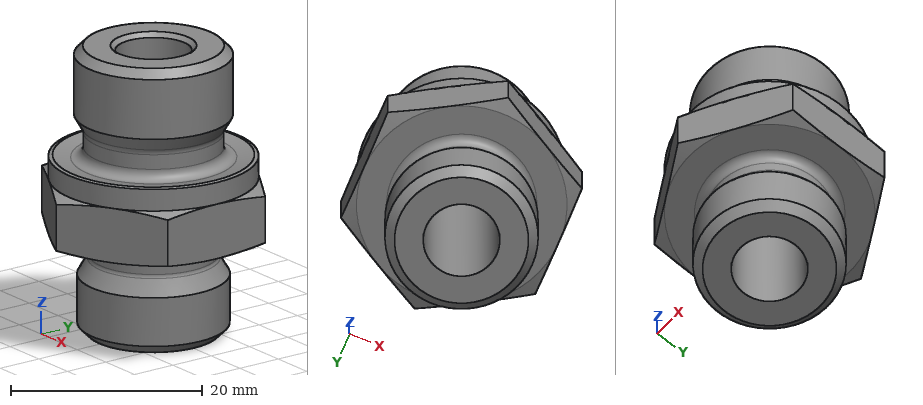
import cadquery as cq
import math

total_height = 31.5
lower_thread_top = 6.35
hex_bottom = 10.95
hex_height = 6.02
hex_top = hex_bottom + hex_height
collar_height = 2.5
collar_rim = hex_top + collar_height
upper_thread_bottom = 23.97

upper_thread_radius = 16.65 / 2
upper_groove_radius = 14.7 / 2
lower_thread_radius = 16.0 / 2
lower_groove_radius = 13.7 / 2
hex_across_flats = 22.0
collar_radius = hex_across_flats / 2
bore_radius = 8.0 / 2

lower_thread_chamfer = 1.0
upper_thread_chamfer = 0.95
bore_chamfer = 0.5
rim_chamfer_width = 0.45
rim_chamfer_height = 0.1
upper_groove_fillet = 1.15
lower_groove_fillet = 0.82
hex_root_fillet = 1.0

runout_angle = math.radians(30)
seal_angle = math.radians(8)
hex_chamfer_angle = math.radians(15)


def runout_blend(groove_radius, thread_radius, thread_edge, fillet, direction):
    """Start, middle and end of the arc joining a groove to its thread run-out cone.

    direction is +1 when the thread lies above the groove and -1 when below.
    """
    corner = thread_edge - direction * (thread_radius - groove_radius) / math.tan(runout_angle)
    start_height = corner - direction * fillet * math.tan(runout_angle / 2)
    return [
        (
            groove_radius + fillet * (1 - math.cos(angle)),
            start_height + direction * fillet * math.sin(angle),
        )
        for angle in (0, runout_angle / 2, runout_angle)
    ]


def root_blend(groove_radius, height, fillet, slope, direction):
    """Start, middle and end of the arc from a groove wall to a sloping shoulder.

    direction is -1 when the shoulder lies below the groove and +1 when above.
    The arc starts at the given height on the groove wall.
    """
    sweep = math.pi / 2 + slope
    return [
        (
            groove_radius + fillet * (1 - math.cos(angle)),
            height + direction * fillet * math.sin(angle),
        )
        for angle in (0, sweep / 2, sweep)
    ]


def turned_body():
    """Both threaded ends, their undercut grooves and the sealing collar."""
    lower_runout = runout_blend(
        lower_groove_radius, lower_thread_radius, lower_thread_top, lower_groove_fillet, -1
    )
    upper_runout = runout_blend(
        upper_groove_radius, upper_thread_radius, upper_thread_bottom, upper_groove_fillet, 1
    )
    hex_root = root_blend(
        lower_groove_radius, hex_bottom - hex_root_fillet, hex_root_fillet, 0, 1
    )

    rim_radius = collar_radius - rim_chamfer_width
    seal_inner_radius = upper_groove_radius + upper_groove_fillet * (1 + math.sin(seal_angle))
    seal_inner_height = collar_rim - (rim_radius - seal_inner_radius) * math.tan(seal_angle)
    seal_root_height = seal_inner_height + upper_groove_fillet * math.cos(seal_angle)
    seal_root = root_blend(
        upper_groove_radius, seal_root_height, upper_groove_fillet, seal_angle, -1
    )

    profile = (
        cq.Workplane("XZ")
        .moveTo(0, 0)
        .lineTo(lower_thread_radius - lower_thread_chamfer, 0)
        .lineTo(lower_thread_radius, lower_thread_chamfer)
        .lineTo(lower_thread_radius, lower_thread_top)
        .lineTo(*lower_runout[2])
        .threePointArc(lower_runout[1], lower_runout[0])
        .lineTo(*hex_root[0])
        .threePointArc(hex_root[1], hex_root[2])
        .lineTo(collar_radius, hex_bottom)
        .lineTo(collar_radius, collar_rim - rim_chamfer_height)
        .lineTo(rim_radius, collar_rim)
        .lineTo(*seal_root[2])
        .threePointArc(seal_root[1], seal_root[0])
        .lineTo(*upper_runout[0])
        .threePointArc(upper_runout[1], upper_runout[2])
        .lineTo(upper_thread_radius, upper_thread_bottom)
        .lineTo(upper_thread_radius, total_height - upper_thread_chamfer)
        .lineTo(upper_thread_radius - upper_thread_chamfer, total_height)
        .lineTo(0, total_height)
        .close()
    )
    return profile.revolve(360, (0, 0, 0), (0, 1, 0))


def hexagon():
    """Hexagon with corners on the Y axis, chamfered conically at both ends."""
    corner_radius = collar_radius / math.cos(math.pi / 6)
    prism = (
        cq.Workplane("XY", origin=(0, 0, hex_bottom))
        .polygon(6, 2 * corner_radius)
        .extrude(hex_height)
        .rotate((0, 0, 0), (0, 0, 1), 30)
    )
    chamfer_drop = (corner_radius - collar_radius) * math.tan(hex_chamfer_angle)
    chamfer_envelope = (
        cq.Workplane("XZ")
        .moveTo(0, hex_bottom)
        .lineTo(collar_radius, hex_bottom)
        .lineTo(corner_radius, hex_bottom + chamfer_drop)
        .lineTo(corner_radius, hex_top - chamfer_drop)
        .lineTo(collar_radius, hex_top)
        .lineTo(0, hex_top)
        .close()
        .revolve(360, (0, 0, 0), (0, 1, 0))
    )
    return prism.intersect(chamfer_envelope)


def bore():
    """Through bore with a countersunk upper mouth."""
    return (
        cq.Workplane("XZ")
        .moveTo(0, 0)
        .lineTo(bore_radius, 0)
        .lineTo(bore_radius, total_height - bore_chamfer)
        .lineTo(bore_radius + bore_chamfer, total_height)
        .lineTo(0, total_height)
        .close()
        .revolve(360, (0, 0, 0), (0, 1, 0))
    )


result = turned_body().union(hexagon()).cut(bore())